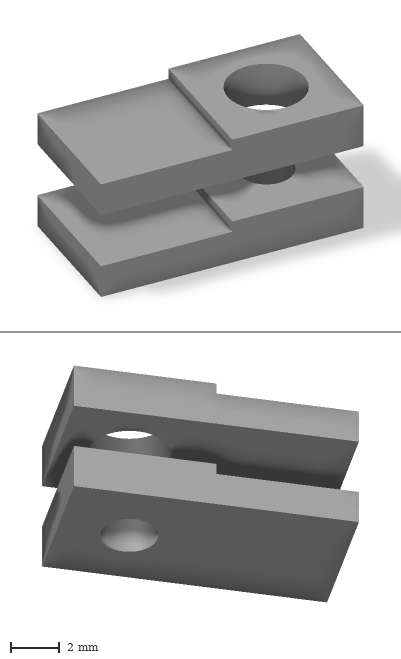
import cadquery as cq

length = 12.0
width = length / 2
stack_height = 6.0

plate_thickness = stack_height / 3
tongue_thickness = plate_thickness * 3 / 4
step_y = length / 2

lower_hole_diameter = 2.4
upper_hole_diameter = 3.5
hole_x = width / 2
hole_y = (step_y + length) / 2

upper_plate_z = stack_height - plate_thickness


def stepped_plate(hole_diameter, base_z):
    """Plate with a thin front tongue, a thick rear half and a through hole."""
    tongue = cq.Workplane("XY").box(width, step_y, tongue_thickness, centered=False)
    thick_half = (
        cq.Workplane("XY")
        .box(width, length - step_y, plate_thickness, centered=False)
        .translate((0, step_y, 0))
    )
    hole = (
        cq.Workplane("XY")
        .center(hole_x, hole_y)
        .circle(hole_diameter / 2)
        .extrude(plate_thickness)
    )
    plate = tongue.union(thick_half).cut(hole)
    return plate.translate((0, 0, base_z))


lower_plate = stepped_plate(lower_hole_diameter, 0)
upper_plate = stepped_plate(upper_hole_diameter, upper_plate_z)

result = cq.Compound.makeCompound([lower_plate.val(), upper_plate.val()])